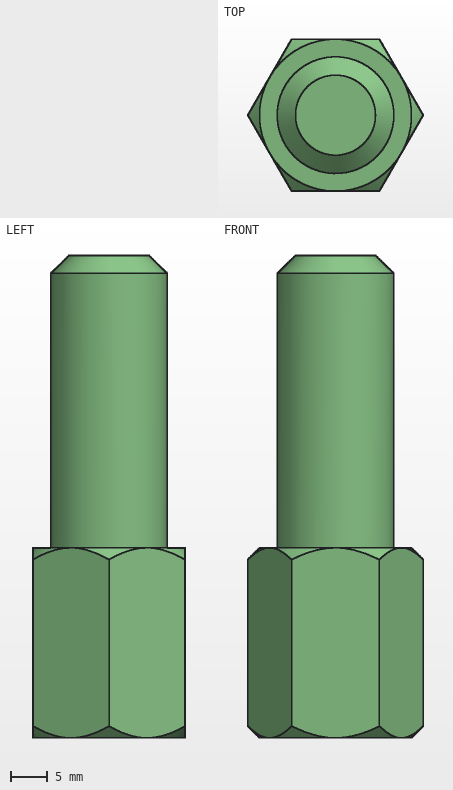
import cadquery as cq
import math

total_height = 66.0
hex_height = 26.0
hex_across_corners = 24.0
rod_diameter = 16.0
tip_chamfer_radial = 2.5
tip_chamfer_height = 2.45
corner_chamfer_angle = 45.0

hex_corner_radius = hex_across_corners / 2
hex_flat_radius = hex_corner_radius * math.cos(math.radians(30))
corner_run = hex_corner_radius - hex_flat_radius
corner_drop = corner_run * math.tan(math.radians(corner_chamfer_angle))
rod_radius = rod_diameter / 2
tip_radius = rod_radius - tip_chamfer_radial


def revolve_about_z(profile_points):
    """Revolve a closed (radius, height) profile about the Z axis."""
    return cq.Workplane("XZ").polyline(profile_points).close().revolve(360, (0, 0), (0, 1))


def make_hex_body():
    """Hexagon with corners on X; its corners are chamfered conically at both ends."""
    prism = cq.Workplane("XY").polygon(6, hex_across_corners).extrude(hex_height)
    envelope = revolve_about_z([
        (0, 0),
        (hex_flat_radius, 0),
        (hex_corner_radius, corner_drop),
        (hex_corner_radius, hex_height - corner_drop),
        (hex_flat_radius, hex_height),
        (0, hex_height),
    ])
    return prism.intersect(envelope)


def make_rod():
    """Round rod standing on the hexagon, with a conical tip."""
    return revolve_about_z([
        (0, hex_height),
        (rod_radius, hex_height),
        (rod_radius, total_height - tip_chamfer_height),
        (tip_radius, total_height),
        (0, total_height),
    ])


result = make_hex_body().union(make_rod())